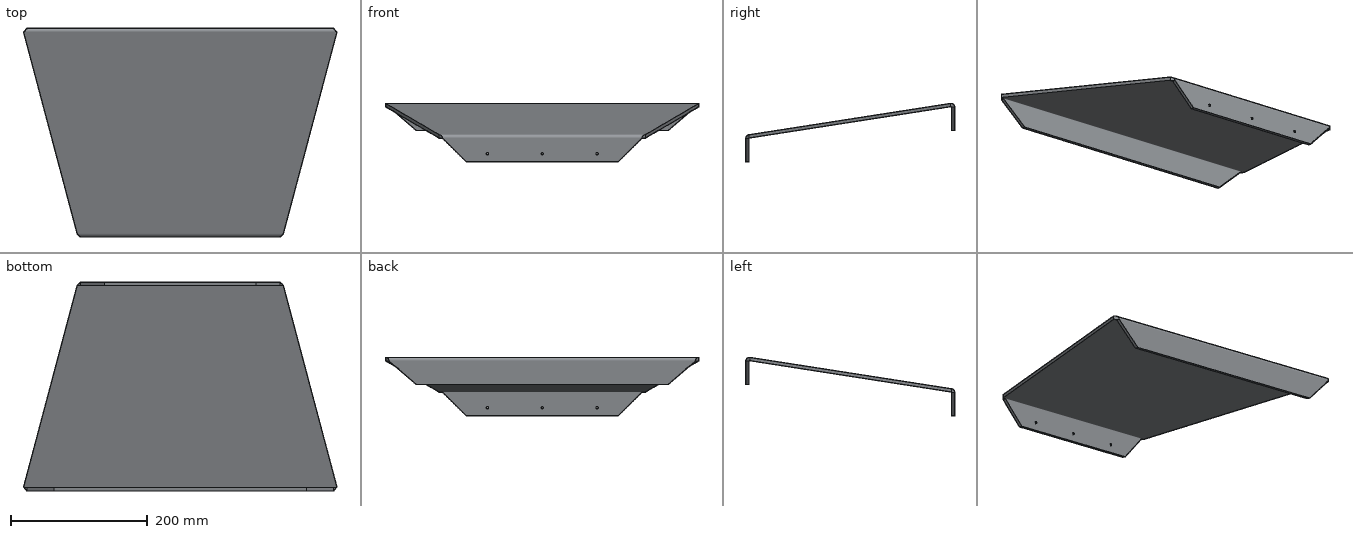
import cadquery as cq
import math

width = 459.0
depth = 306.0
height = 86.0
thickness = 5.0
bend_radius = 5.5
drop = 46.0

back_plate_half = width / 2
front_plate_half = 151.0
back_top_half = 224.5
back_bottom_half = 184.5
front_top_half = 146.0
front_bottom_half = 111.0

hole_diameter = 3.0
hole_spacing = 80.5
hole_height = 12.0

half_depth = depth / 2
inner_radius = bend_radius - thickness
back_y = half_depth - bend_radius
front_y = -back_y
back_z = height - bend_radius
front_z = back_z - drop
slope = math.atan2(drop, back_y - front_y)


def on_bend(y, z, radius, angle):
    """Point on a bend arc, with the angle measured from +Y toward +Z."""
    return (y + radius * math.cos(angle), z + radius * math.sin(angle))


def bent_sheet():
    """Constant-thickness side profile across the full width."""
    plate_normal = math.pi / 2 + slope
    back_middle = plate_normal / 2
    front_middle = (plate_normal + math.pi) / 2
    inner_face = half_depth - thickness
    profile = (
        cq.Workplane("YZ")
        .moveTo(half_depth, drop)
        .lineTo(half_depth, back_z)
        .threePointArc(
            on_bend(back_y, back_z, bend_radius, back_middle),
            on_bend(back_y, back_z, bend_radius, plate_normal),
        )
        .lineTo(*on_bend(front_y, front_z, bend_radius, plate_normal))
        .threePointArc(
            on_bend(front_y, front_z, bend_radius, front_middle),
            (-half_depth, front_z),
        )
        .lineTo(-half_depth, 0)
        .lineTo(-inner_face, 0)
        .lineTo(-inner_face, front_z)
        .threePointArc(
            on_bend(front_y, front_z, inner_radius, front_middle),
            on_bend(front_y, front_z, inner_radius, plate_normal),
        )
        .lineTo(*on_bend(back_y, back_z, inner_radius, plate_normal))
        .threePointArc(
            on_bend(back_y, back_z, inner_radius, back_middle),
            (inner_face, back_z),
        )
        .lineTo(inner_face, drop)
        .close()
    )
    return profile.extrude(width / 2, both=True)


def plate_outline():
    """Upright prism with the plate taper and narrowed corners over the bends."""
    back_tangent = back_y - bend_radius * math.sin(slope)
    front_tangent = front_y - bend_radius * math.sin(slope)
    right_side = [
        (front_top_half, -half_depth),
        (front_plate_half, front_tangent),
        (back_plate_half, back_tangent),
        (back_top_half, half_depth),
    ]
    left_side = [(-x, y) for x, y in reversed(right_side)]
    return cq.Workplane("XY").polyline(right_side + left_side).close().extrude(height)


def flange_trim(face_y, bottom_z, bend_z, bottom_half, top_half):
    """Two wedges beside a flange that leave its sides tapering toward the bottom."""
    side = [
        (bottom_half, bottom_z),
        (top_half, bend_z),
        (width, bend_z),
        (width, bottom_z),
    ]
    wedge = (
        cq.Workplane("XZ", origin=(0, face_y, 0))
        .polyline(side).close().extrude(thickness)
    )
    return wedge.union(wedge.mirror("YZ"))


def flange_holes():
    """Row of three round holes through the front flange."""
    centres = [(i * hole_spacing, hole_height) for i in (-1, 0, 1)]
    return (
        cq.Workplane("XZ", origin=(0, -half_depth + thickness, 0))
        .pushPoints(centres)
        .circle(hole_diameter / 2)
        .extrude(thickness)
    )


result = (
    bent_sheet()
    .intersect(plate_outline())
    .cut(flange_trim(half_depth, drop, back_z, back_bottom_half, back_top_half))
    .cut(flange_trim(thickness - half_depth, 0, front_z, front_bottom_half, front_top_half))
    .cut(flange_holes())
)